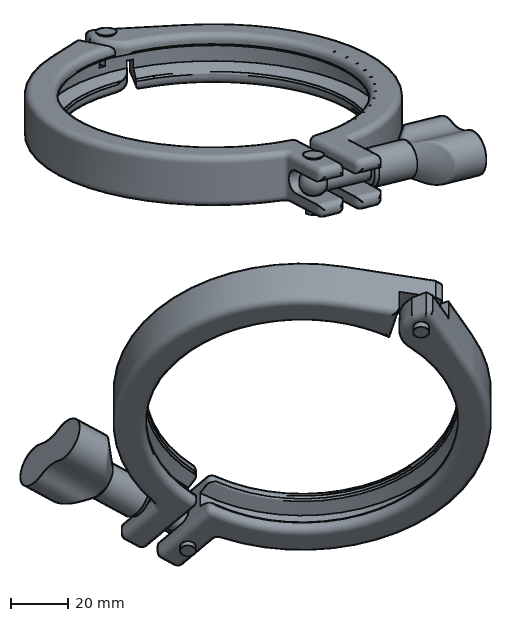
import cadquery as cq
import math

ring_outer_radius = 66.2
ring_inner_radius = 54.7
body_height = 19.0
edge_round = 2.5
halves_offset = 0.5

groove_radius = 60.5
groove_mouth_height = 10.2
groove_lip_round = 0.8
groove_floor_height = 6.0

lug_end_x = 85.9
lug_inner_y = 2.6
lug_outer_y = 13.5
lug_corner_round = 2.5
lug_root_round = 1.6
slot_width = 8.5
slot_end_x = 66.5

hinge_tangent_angle = 25.9
hinge_tip_x = -74.0
hinge_tip_y = -3.6
hinge_chin_x = -68.4
hinge_chin_y = -5.8
hinge_lobe_radius = 10.7
hinge_lobe_y = 5.0
step_distance = 19.8
hinge_clearance_reach = 41.2
step_height = halves_offset / 2

hinge_pin_x = -66.5
bolt_x = 74.2
bolt_pin_y = -8.2
pin_diameter = 5.6
pin_head_diameter = 7.4
pin_length = 21.8
pin_head_height = 0.8
pin_head_cone = 1.0

bolt_diameter = 8.2
bolt_eye_radius = 5.1

nut_neck_radius = 7.0
nut_chamfer_width = 0.7
nut_chamfer_length = 1.5
nut_neck_end_y = 31.1
nut_cone_end_y = 40.9
nut_end_y = 53.9
nut_funnel_round = 1.3
wing_half_width = 16.6
wing_lobe_radius = 8.2
wing_waist_half_width = 5.0


def polar(radius, angle):
    return (radius * math.cos(math.radians(angle)), radius * math.sin(math.radians(angle)))


flank_angle = 180 - hinge_tangent_angle
flank_start = polar(ring_outer_radius, flank_angle)
flank_slope = math.tan(math.radians(90 - hinge_tangent_angle))


def half_outline():
    flank_end_y = flank_start[1] + (hinge_tip_x - flank_start[0]) * flank_slope
    outer_start_x = math.sqrt(ring_outer_radius**2 - lug_outer_y**2)
    inner_start_x = math.sqrt(ring_inner_radius**2 - lug_inner_y**2)
    inner_end_x = -math.sqrt(ring_inner_radius**2 - hinge_lobe_y**2)
    lobe_x = inner_end_x - hinge_lobe_radius
    lobe_mid = polar(hinge_lobe_radius, -45)
    return (
        cq.Workplane("XY")
        .moveTo(inner_start_x, lug_inner_y)
        .lineTo(lug_end_x, lug_inner_y)
        .lineTo(lug_end_x, lug_outer_y)
        .lineTo(outer_start_x, lug_outer_y)
        .threePointArc((0, ring_outer_radius), flank_start)
        .lineTo(hinge_tip_x, flank_end_y)
        .lineTo(hinge_tip_x, hinge_tip_y)
        .lineTo(hinge_chin_x, hinge_chin_y)
        .lineTo(lobe_x, hinge_lobe_y - hinge_lobe_radius)
        .threePointArc((lobe_x + lobe_mid[0], hinge_lobe_y + lobe_mid[1]), (inner_end_x, hinge_lobe_y))
        .threePointArc((0, ring_inner_radius), (inner_start_x, lug_inner_y))
        .close()
    )


def vertical_edges_near(x, y):
    reach = 0.8
    return cq.selectors.BoxSelector(
        (x - reach, y - reach, -body_height), (x + reach, y + reach, body_height)
    )


def rounded_body():
    body = half_outline().extrude(body_height / 2, both=True)
    root_x = math.sqrt(ring_outer_radius**2 - lug_outer_y**2)
    body = body.edges("|Z").edges(vertical_edges_near(root_x, lug_outer_y)).fillet(lug_root_round)
    body = body.edges("|Z").edges(vertical_edges_near(ring_inner_radius, lug_inner_y)).fillet(
        lug_corner_round
    )
    return body.faces("<Z or >Z or >X").edges().fillet(edge_round)


def hinge_step():
    """Clearance below the hinge lobe for the lobe of the other half, with a rounded lower edge."""
    wall_y = -step_distance
    far_y = wall_y - hinge_clearance_reach
    bottom_z = -body_height / 2
    rounding = polar(edge_round, 225)
    return (
        cq.Workplane("YZ", origin=(-ring_outer_radius - hinge_clearance_reach / 2, 0, 0))
        .moveTo(far_y, step_height)
        .lineTo(wall_y, step_height)
        .lineTo(wall_y, bottom_z + edge_round)
        .threePointArc(
            (wall_y + edge_round + rounding[0], bottom_z + edge_round + rounding[1]),
            (wall_y + edge_round, bottom_z),
        )
        .lineTo(far_y, bottom_z)
        .close()
        .extrude(hinge_clearance_reach)
        .rotate((0, 0, 0), (0, 0, 1), -hinge_tangent_angle)
    )


def groove():
    """Revolved V groove whose mouth edges are rounded tangent to the ring bore."""
    mouth_z = groove_mouth_height / 2
    floor_z = groove_floor_height / 2
    flank_tilt = math.degrees(math.atan2(mouth_z - floor_z, groove_radius - ring_inner_radius))
    tangent_length = groove_lip_round * math.tan(math.radians((90 - flank_tilt) / 2))
    along_flank = polar(tangent_length, -flank_tilt)
    rounding = polar(groove_lip_round, 180 + (90 - flank_tilt) / 2)
    bore_z = mouth_z + tangent_length
    mid_x = ring_inner_radius + groove_lip_round + rounding[0]
    mid_z = bore_z + rounding[1]
    flank_x = ring_inner_radius + along_flank[0]
    flank_z = mouth_z + along_flank[1]
    return (
        cq.Workplane("XZ")
        .moveTo(0, -bore_z)
        .lineTo(ring_inner_radius, -bore_z)
        .threePointArc((mid_x, -mid_z), (flank_x, -flank_z))
        .lineTo(groove_radius, -floor_z)
        .lineTo(groove_radius, floor_z)
        .lineTo(flank_x, flank_z)
        .threePointArc((mid_x, mid_z), (ring_inner_radius, bore_z))
        .lineTo(0, bore_z)
        .close()
        .revolve(360, (0, 0, 0), (0, 1, 0))
    )


def lug_slot():
    """Fork slot along X with a round inner end and a rounded mouth."""
    half_width = slot_width / 2
    straight_start_x = slot_end_x + half_width
    straight_end_x = lug_end_x - edge_round
    mouth_half_width = half_width + edge_round
    rounding = polar(edge_round, 45)
    mouth_mid_x = straight_end_x + rounding[0]
    mouth_mid_z = mouth_half_width - rounding[1]
    return (
        cq.Workplane("XZ")
        .moveTo(lug_end_x, -mouth_half_width)
        .threePointArc((mouth_mid_x, -mouth_mid_z), (straight_end_x, -half_width))
        .lineTo(straight_start_x, -half_width)
        .threePointArc((slot_end_x, 0), (straight_start_x, half_width))
        .lineTo(straight_end_x, half_width)
        .threePointArc((mouth_mid_x, mouth_mid_z), (lug_end_x, mouth_half_width))
        .close()
        .extrude(-2 * lug_outer_y)
    )


def clamp_half():
    return rounded_body().cut(hinge_step()).cut(lug_slot()).cut(groove())


def pin(x, y):
    """Pin with a thin countersunk head; Z = 0 is the middle of the body it crosses."""
    head_top = body_height / 2 + pin_head_height
    radius = pin_diameter / 2
    return (
        cq.Workplane("XZ")
        .moveTo(0, head_top - pin_length)
        .lineTo(radius, head_top - pin_length)
        .lineTo(radius, head_top - pin_head_cone)
        .lineTo(pin_head_diameter / 2, head_top)
        .lineTo(0, head_top)
        .close()
        .revolve(360, (0, 0, 0), (0, 1, 0))
        .translate((x, y, 0))
    )


def swing_bolt():
    """Bolt along Y with a ball eye around the bolt pin, flattened to fit the lug slot."""
    shaft = cq.Workplane("XZ").circle(bolt_diameter / 2).extrude(-(nut_neck_end_y - bolt_pin_y))
    flats = cq.Workplane("XY").box(2 * bolt_eye_radius, 2 * bolt_eye_radius, bolt_diameter)
    eye = cq.Workplane("XY").sphere(bolt_eye_radius).intersect(flats)
    return shaft.union(eye).translate((bolt_x, bolt_pin_y, 0))


def wing_section():
    """Two round lobes joined by a waist arc that is tangent to both."""
    lobe_x = wing_half_width - wing_lobe_radius
    lobe_dx = lobe_x - wing_waist_half_width
    tangent_z = math.sqrt(wing_lobe_radius**2 - lobe_dx**2)
    waist_radius = wing_lobe_radius * wing_waist_half_width / lobe_dx
    waist_z = tangent_z * (1 + waist_radius / wing_lobe_radius) - waist_radius
    side = wing_waist_half_width
    return (
        cq.Workplane("XZ")
        .moveTo(-side, tangent_z)
        .threePointArc((0, waist_z), (side, tangent_z))
        .threePointArc((wing_half_width, 0), (side, -tangent_z))
        .threePointArc((0, -waist_z), (-side, -tangent_z))
        .threePointArc((-wing_half_width, 0), (-side, tangent_z))
        .close()
    )


def wing_nut():
    neck = (
        cq.Workplane("XY")
        .moveTo(0, lug_outer_y)
        .lineTo(nut_neck_radius - nut_chamfer_width, lug_outer_y)
        .lineTo(nut_neck_radius, lug_outer_y + nut_chamfer_length)
        .lineTo(nut_neck_radius, nut_neck_end_y)
        .lineTo(0, nut_neck_end_y)
        .close()
        .revolve(360, (0, 0, 0), (0, 1, 0))
    )
    funnel = (
        cq.Workplane("XY")
        .moveTo(0, nut_neck_end_y)
        .lineTo(nut_neck_radius, nut_neck_end_y)
        .lineTo(wing_half_width, nut_cone_end_y)
        .lineTo(wing_half_width, nut_end_y)
        .lineTo(0, nut_end_y)
        .close()
        .revolve(360, (0, 0, 0), (0, 1, 0))
    )
    wings = wing_section().extrude(-nut_end_y).intersect(funnel)
    funnel_edges = cq.selectors.BoxSelector(
        (-nut_end_y, nut_neck_end_y + 0.2, -nut_end_y), (nut_end_y, nut_cone_end_y, nut_end_y)
    )
    nut = neck.union(wings).edges(funnel_edges).fillet(nut_funnel_round)
    return nut.translate((bolt_x, 0, 0))


back_half = clamp_half().translate((0, 0, -halves_offset / 2))
front_half = clamp_half().rotate((0, 0, 0), (1, 0, 0), 180).translate((0, 0, halves_offset / 2))
hinge_pin = pin(hinge_pin_x, 0).translate((0, 0, -halves_offset / 2))
bolt_assembly = swing_bolt().union(wing_nut()).union(pin(bolt_x, bolt_pin_y))
bolt_assembly = bolt_assembly.translate((0, 0, halves_offset / 2))

result = back_half.union(front_half).union(hinge_pin).union(bolt_assembly)